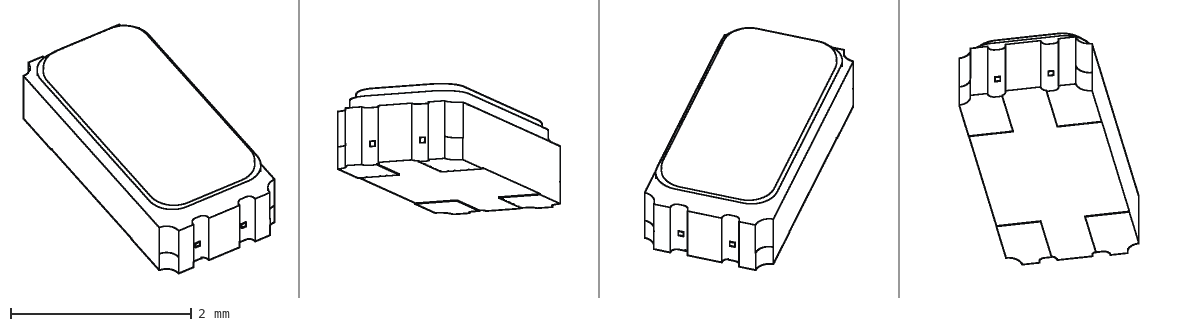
import cadquery as cq

length = 3.2
width = 1.5
height = 0.9

pad_thickness = 0.01
body_top = 0.65

ring_length = 2.9
ring_width = 1.4
ring_top = 0.8
lid_length = 2.8
lid_width = 1.3
frame_corner_radius = 0.3
lid_edge_radius = 0.05
ring_foot_radius = 0.07
selection_margin = 0.01

corner_notch_radius = 0.157
end_notch_radius = 0.07
end_notch_depth = 0.079
end_notch_flat = 0.06
end_notch_offset = 0.3

lining_thickness = 0.002
lining_top = 0.25
bump_size = 0.06
bump_height = 0.01
bump_center_z = 0.24

pad_length = 0.75
pad_width = 0.5

SIGNS = (-1, 1)
CORNERS = [(sx, sy) for sx in SIGNS for sy in SIGNS]


def block(size_x, size_y, z_bottom, z_top, center=(0, 0)):
    """Upright rectangular block between two heights."""
    base = cq.Workplane("XY").workplane(offset=z_bottom).center(*center)
    return base.rect(size_x, size_y).extrude(z_top - z_bottom)


def rounded_block(size_x, size_y, z_bottom, z_top):
    """Centred block with the rounded corners shared by the ring and the lid."""
    return block(size_x, size_y, z_bottom, z_top).edges("|Z").fillet(frame_corner_radius)


def make_body_and_ring():
    """Body with the seal ring blended into its top by a concave fillet."""
    body = block(length, width, pad_thickness, body_top)
    ring = rounded_block(ring_length, ring_width, body_top, ring_top)
    half_x = ring_length / 2 + selection_margin
    half_y = ring_width / 2 + selection_margin
    foot_edges = cq.selectors.BoxSelector(
        (-half_x, -half_y, body_top - selection_margin),
        (half_x, half_y, body_top + selection_margin),
    )
    return body.union(ring).edges(foot_edges).fillet(ring_foot_radius)


def make_lid():
    """Lid plate with a rounded top edge."""
    lid = rounded_block(lid_length, lid_width, ring_top, height)
    return lid.faces(">Z").edges().fillet(lid_edge_radius)


def make_pads():
    """Four solder pads under the corners of the body."""
    pads = cq.Workplane("XY")
    for sx, sy in CORNERS:
        center = (sx * (length - pad_length) / 2, sy * (width - pad_width) / 2)
        pads = pads.union(block(pad_length, pad_width, 0, pad_thickness, center))
    return pads


def cut_corner_notches(part):
    """Quarter-round castellations, slightly narrower where they are lined."""
    corner_points = [(sx * length / 2, sy * width / 2) for sx, sy in CORNERS]
    for z_bottom, z_top, radius in (
        (0, lining_top, corner_notch_radius - lining_thickness),
        (lining_top, body_top, corner_notch_radius),
    ):
        base = cq.Workplane("XY").workplane(offset=z_bottom).pushPoints(corner_points)
        part = part.cut(base.circle(radius).extrude(z_top - z_bottom))
    return part


def cut_end_notches(part):
    """Two round-cornered castellations in each short end, each with a bump."""
    slot_length = end_notch_flat + 2 * end_notch_radius
    slot_x = length / 2 - (end_notch_depth - end_notch_radius)
    floor_x = length / 2 - end_notch_depth
    for sx, sy in CORNERS:
        center_y = sy * end_notch_offset
        base = cq.Workplane("XY").center(sx * slot_x, center_y)
        slot = base.slot2D(slot_length, 2 * end_notch_radius, 90).extrude(body_top)
        mouth = block(
            end_notch_depth - end_notch_radius,
            slot_length,
            0,
            body_top,
            (sx * (length / 2 + slot_x) / 2, center_y),
        )
        part = part.cut(slot).cut(mouth)
        bump = block(
            2 * bump_height,
            bump_size,
            bump_center_z - bump_size / 2,
            bump_center_z + bump_size / 2,
            (sx * floor_x, center_y),
        )
        part = part.union(bump)
    return part


package = make_body_and_ring().union(make_lid()).union(make_pads())
result = cut_end_notches(cut_corner_notches(package))